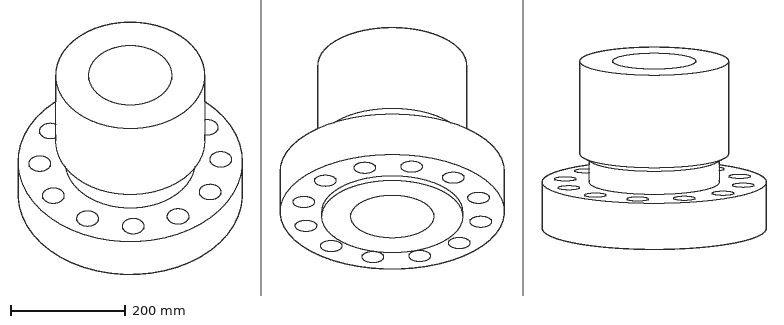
import cadquery as cq
import math

total_height = 307.98
bore_diameter = 146.05

face_diameter = 247.65
face_height = 9.53

flange_diameter = 393.7
flange_thickness = 82.55
bolt_circle_diameter = 317.5
bolt_hole_diameter = 38.1
bolt_count = 12

neck_diameter = 228.6
barrel_diameter = 261.6
neck_length = 41.2
shoulder_angle = 30.0

flange_top = face_height + flange_thickness
neck_top = flange_top + neck_length
shoulder_height = (barrel_diameter - neck_diameter) / 2 * math.tan(math.radians(shoulder_angle))
barrel_bottom = neck_top + shoulder_height


def turned_body():
    """Ring-shaped flange body, revolved about Z with the bore left open."""
    profile = [
        (bore_diameter / 2, 0),
        (face_diameter / 2, 0),
        (face_diameter / 2, face_height),
        (flange_diameter / 2, face_height),
        (flange_diameter / 2, flange_top),
        (neck_diameter / 2, flange_top),
        (neck_diameter / 2, neck_top),
        (barrel_diameter / 2, barrel_bottom),
        (barrel_diameter / 2, total_height),
        (bore_diameter / 2, total_height),
    ]
    return cq.Workplane("XZ").polyline(profile).close().revolve(360, (0, 0), (0, 1))


def bolt_holes():
    """Cylinders for the bolt holes, evenly spaced through the flange."""
    return (
        cq.Workplane("XY", origin=(0, 0, face_height))
        .polarArray(bolt_circle_diameter / 2, 0, 360, bolt_count)
        .circle(bolt_hole_diameter / 2)
        .extrude(flange_thickness)
    )


result = turned_body().cut(bolt_holes())